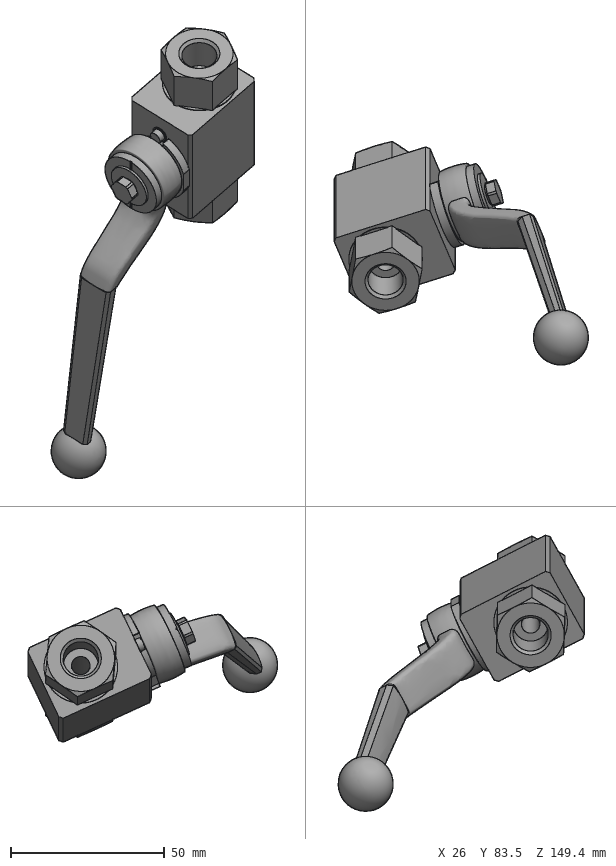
import cadquery as cq
import math


block_width = 26.0
block_height = 40.0
block_back = 13.5
block_front = -19.85
block_chamfer = 1.1
hex_across_flats = 22.0
hex_chamfer_diameter = 22.0
hex_chamfer_angle = 20.0
hex_collar_diameter = 24.0
hex_collar_thickness = 0.25
body_length = 69.0
port_diameter = 11.45
port_mouth_diameter = 13.4
port_depth = 12.0
bore_diameter = 6.0

pin_height = 12.15
pin_flange_diameter = 5.5
pin_flange_thickness = 0.4
pin_base_diameter = 4.57
pin_tip_diameter = 4.13
pin_length = 2.5

plate_thickness = 2.95
plate_radius = 13.1
plate_width = 25.0
plate_relief_radius = 9.2
plate_stop_offset = 3.7
plate_ramp_end = 11.4
hub_back = block_front - plate_thickness
hub_length = 9.2
hub_end_radius = 12.0
hub_middle_radius = 12.4
hub_edge_radius = 0.3
cap_diameter = 22.0
cap_thickness = 2.7
cap_groove_width = 0.5
cap_groove_depth = 0.3
washer_diameter = 15.0
washer_thickness = 0.9
neck_diameter = 6.7
neck_length = 0.6
bolt_across_flats = 8.0
bolt_corner_diameter = 8.8
bolt_height = 3.1

arm_end_width = 12.9
arm_end_z = -32.3
arm_roundness = 5.0
arm_section_points = 24
arm_sections = [
    (-28.1, -9.0, 0.0, 14.8, 7.4),
    (-28.3, -14.4, 16.0, 14.5, 7.0),
    (-34.9, -20.8, 58.0, 14.0, 6.2),
    (-43.1, -25.9, 57.0, 13.5, 6.0),
    (-48.4, -29.8, 40.0, 13.1, 6.0),
]
rod_top_y = -50.6
rod_top_thickness = 6.3
rod_end_y = -61.25
rod_end_z = -98.0
rod_end_width = 10.1
rod_end_thickness = 5.4
rod_bevel_width = 1.2
rod_front_bevel = 0.8
rod_back_bevel = 1.9
rod_crown = 0.5
knob_diameter = 18.0
knob_y = -60.97
knob_z = -105.95


def disc(diameter, back, length):
    """Cylinder along -Y that starts at the plane Y = back."""
    return cq.Workplane("XZ", origin=(0, back, 0)).circle(diameter / 2).extrude(length)


def hexagon_corners(across_flats):
    return across_flats / math.cos(math.pi / 6)


def hex_end():
    """Hexagon on the upper face of the block, with a turned chamfer at its tip and a thin round collar."""
    corner_diameter = hexagon_corners(hex_across_flats)
    drop = (corner_diameter - hex_chamfer_diameter) / 2 * math.tan(math.radians(hex_chamfer_angle))
    low = block_height / 2
    high = body_length / 2
    prism = (
        cq.Workplane("XY", origin=(0, 0, low))
        .polygon(6, corner_diameter)
        .extrude(high - low)
        .rotate((0, 0, 0), (0, 0, 1), 30)
    )
    turned = (
        cq.Workplane("XZ")
        .moveTo(0, low)
        .lineTo(corner_diameter / 2, low)
        .lineTo(corner_diameter / 2, high - drop)
        .lineTo(hex_chamfer_diameter / 2, high)
        .lineTo(0, high)
        .close()
        .revolve(360, (0, 0, 0), (0, 1, 0))
    )
    collar = (
        cq.Workplane("XY", origin=(0, 0, low))
        .circle(hex_collar_diameter / 2)
        .extrude(hex_collar_thickness)
    )
    return prism.intersect(turned).union(collar)


def port():
    """Cutter for the blind port in the upper end, with a 45 degree countersink at its mouth."""
    high = body_length / 2
    mouth = (port_mouth_diameter - port_diameter) / 2
    return (
        cq.Workplane("XZ")
        .moveTo(0, high)
        .lineTo(port_mouth_diameter / 2, high)
        .lineTo(port_diameter / 2, high - mouth)
        .lineTo(port_diameter / 2, high - port_depth)
        .lineTo(0, high - port_depth)
        .close()
        .revolve(360, (0, 0, 0), (0, 1, 0))
    )


def stop_pin():
    """Slightly tapered pin on a thin round flange."""
    flange = disc(pin_flange_diameter, block_front, pin_flange_thickness)
    head = (
        cq.Workplane("XZ", origin=(0, block_front, 0))
        .circle(pin_base_diameter / 2)
        .workplane(offset=pin_length)
        .circle(pin_tip_diameter / 2)
        .loft()
    )
    return flange.union(head).translate((0, 0, pin_height))


def make_housing():
    block_depth = block_back - block_front
    housing = (
        cq.Workplane("XY")
        .box(block_width, block_depth, block_height)
        .translate((0, (block_back + block_front) / 2, 0))
        .edges("|Z")
        .chamfer(block_chamfer)
    )
    upper_end = hex_end()
    upper_port = port()
    housing = housing.union(upper_end).union(upper_end.mirror("XY"))
    housing = housing.cut(upper_port).cut(upper_port.mirror("XY"))
    bore = cq.Workplane("XY").circle(bore_diameter / 2).extrude(body_length / 2, both=True)
    return housing.cut(bore).union(stop_pin())


def stop_plate():
    """Disc with flat sides, relieved over a quarter turn between a ramp and a stop at each end."""
    plate = disc(2 * plate_radius, block_front, plate_thickness)
    plate = plate.intersect(cq.Workplane("XY").box(plate_width, 4 * plate_radius, 4 * plate_radius))
    outside = 2 * plate_radius
    relief = (
        cq.Workplane("XZ", origin=(0, block_front, 0))
        .moveTo(0, plate_relief_radius)
        .lineTo(plate_stop_offset, plate_ramp_end)
        .lineTo(plate_stop_offset, outside)
        .lineTo(-outside, outside)
        .lineTo(-outside, -plate_stop_offset)
        .lineTo(-plate_ramp_end, -plate_stop_offset)
        .lineTo(-plate_relief_radius, 0)
        .radiusArc((0, plate_relief_radius), plate_relief_radius)
        .close()
        .extrude(plate_thickness)
    )
    return plate.cut(relief)


def hub():
    """Barrel-shaped hub of the lever."""
    front = hub_back - hub_length
    return (
        cq.Workplane("XY")
        .moveTo(0, hub_back)
        .lineTo(hub_end_radius, hub_back)
        .threePointArc((hub_middle_radius, (hub_back + front) / 2), (hub_end_radius, front))
        .lineTo(0, front)
        .close()
        .revolve(360, (0, 0, 0), (0, 1, 0))
        .faces("<Y or >Y")
        .edges()
        .fillet(hub_edge_radius)
    )


def spindle_end():
    """Cap with a fine groove across its face, then washer, neck and hexagon head in front of the hub."""
    cap_back = hub_back - hub_length
    washer_back = cap_back - cap_thickness
    neck_back = washer_back - washer_thickness
    bolt_back = neck_back - neck_length
    bolt = (
        cq.Workplane("XZ", origin=(0, bolt_back, 0))
        .polygon(6, hexagon_corners(bolt_across_flats))
        .extrude(bolt_height)
        .intersect(disc(bolt_corner_diameter, bolt_back, bolt_height))
    )
    groove = cq.Workplane("XY").box(cap_groove_width, 2 * cap_groove_depth, cap_diameter)
    return (
        disc(cap_diameter, cap_back, cap_thickness)
        .cut(groove.translate((0, washer_back, 0)))
        .union(disc(washer_diameter, washer_back, washer_thickness))
        .union(disc(neck_diameter, neck_back, neck_length))
        .union(bolt)
    )


def rounded_section(center_y, center_z, tilt, width, thickness):
    """Superellipse wire of the arm, tilted about X so that it lies across the bent path."""
    angle = math.radians(tilt)
    points = []
    for i in range(arm_section_points):
        turn = 2 * math.pi * i / arm_section_points
        across = math.cos(turn)
        through = math.sin(turn)
        scale = (abs(across) ** arm_roundness + abs(through) ** arm_roundness) ** (-1 / arm_roundness)
        x = width / 2 * scale * across
        depth = thickness / 2 * scale * through
        points.append(cq.Vector(x, center_y + depth * math.cos(angle), center_z - depth * math.sin(angle)))
    return cq.Wire.assembleEdges([cq.Edge.makeSpline(points, periodic=True)])


def cranked_arm():
    """Smooth bent part of the lever between the hub and the rod, narrowing downwards."""
    wires = [rounded_section(*section) for section in arm_sections]
    wires.append(rounded_section(rod_top_y, arm_end_z, 0.0, arm_end_width, rod_top_thickness))
    return cq.Workplane(cq.Solid.makeLoft(wires))


def rod_section(workplane, width, thickness):
    """Section with crowned front and back and a deeper bevel at the back."""
    side_x = width / 2
    face_x = side_x - rod_bevel_width
    back = thickness / 2
    front = -thickness / 2
    back_corner = back - rod_crown
    front_corner = front + rod_crown
    return (
        workplane.moveTo(side_x, front_corner + rod_front_bevel)
        .lineTo(side_x, back_corner - rod_back_bevel)
        .lineTo(face_x, back_corner)
        .threePointArc((0, back), (-face_x, back_corner))
        .lineTo(-side_x, back_corner - rod_back_bevel)
        .lineTo(-side_x, front_corner + rod_front_bevel)
        .lineTo(-face_x, front_corner)
        .threePointArc((0, front), (face_x, front_corner))
        .close()
    )


def rod():
    """Straight tapered part of the lever, running down into the knob."""
    top_plane = cq.Workplane("XY", origin=(0, rod_top_y, arm_end_z))
    end_plane = cq.Workplane("XY", origin=(0, rod_end_y, rod_end_z))
    top = rod_section(top_plane, arm_end_width, rod_top_thickness)
    end = rod_section(end_plane, rod_end_width, rod_end_thickness)
    return cq.Workplane(cq.Solid.makeLoft([top.wire().val(), end.wire().val()], True))


def make_lever():
    knob = cq.Workplane("XY").sphere(knob_diameter / 2).translate((0, knob_y, knob_z))
    handle = hub().union(cranked_arm()).union(rod()).union(knob)
    return handle.union(stop_plate()).union(spindle_end())


housing = make_housing()
lever = make_lever().cut(stop_pin())

result = cq.Compound.makeCompound([housing.val(), lever.val()])